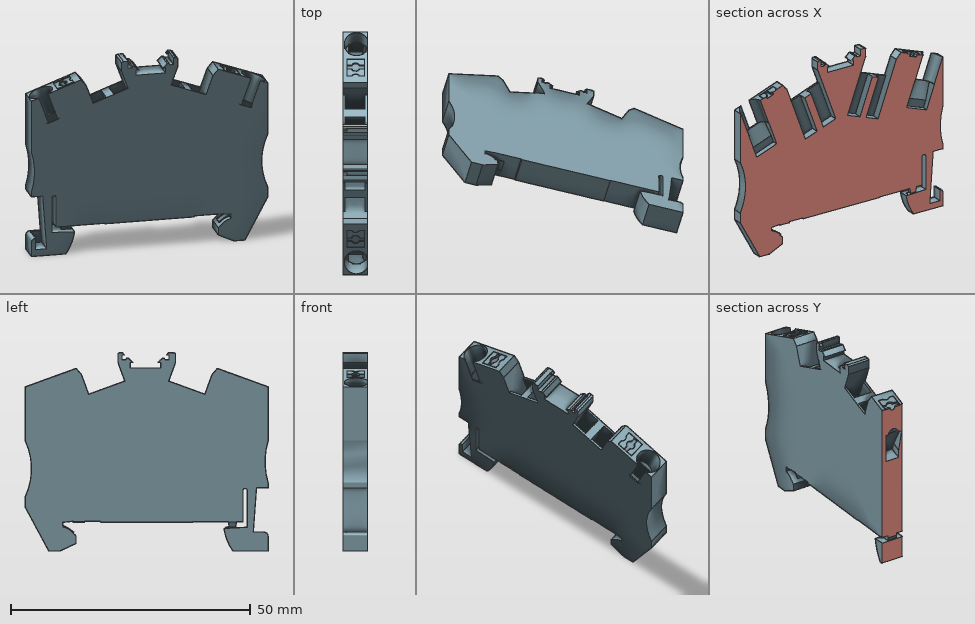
import cadquery as cq
import math

WIDTH = 5.15
LENGTH = 50.8
HEIGHT = 41.5
HALF = LENGTH / 2
SLOPE = 20.0
RISE = math.tan(math.radians(SLOPE))

EAVE_Z = 34.33
PEAK_Y = 14.77
SHOULDER_Y = 13.62
VALLEY_Y = 12.13
VALLEY_Z = 32.8
NECK_Y = 4.62
SHOULDER_Z = VALLEY_Z + (SHOULDER_Y - VALLEY_Y) / RISE
PEAK_Z = EAVE_Z + (HALF - PEAK_Y) * RISE
NECK_Z = VALLEY_Z + (VALLEY_Y - NECK_Y) * RISE

HOLDER_Y = 6.05
HOLDER_BEND_Z = 39.43
HOLDER_FLOOR_Z = 38.3
HOLDER_FLOOR_Y = 3.43
HOLDER_INSET = 0.55
LEDGE_Z = 40.0
LEDGE_WALL_Y = 5.15
LIP_WIDTH = 0.8
LIP_REACH = 0.46
LIP_TOP_REACH = 0.07
LIP_Z = 40.96
LIP_ROOT = 0.2
JAW_TOP_DROP = 0.2
JAW_TOP_BEVEL = 0.45
CATCH_FOOT_Y = 4.39
CATCH_TOP_OUTER_Y = 4.2
CATCH_TOP_INNER_Y = 3.8
CATCH_TOP_Z = 40.3
CATCH_TIP_Y = 2.85
CATCH_TIP_Z = 39.4

FRONT_GRIP_LOW_Z = 14.25
FRONT_GRIP_HIGH_Z = 23.05
FRONT_GRIP_DEPTH = 0.65
BACK_GRIP_LOW_Z = 11.4
BACK_GRIP_HIGH_Z = 23.0
BACK_GRIP_DEPTH = 1.28

BASE_Z = 5.98
RELIEF_Z = 6.2
FLANK_Z = 6.1
BASE_MIN_Y = -9.6
BASE_MAX_Y = 9.56
RELIEF_MIN_Y = 9.75
RELIEF_MAX_Y = 15.4
JAW_Y = 17.53
JAW_BEND_Y = 15.85
JAW_BEND_Z = 4.21
JAW_BULGE = 0.15
JAW_TIP_Y = 14.77
JAW_TIP_HIGH_Z = 3.18
JAW_TIP_LOW_Z = 1.57
JAW_SOLE_MIN_Y = 18.1
JAW_SOLE_MAX_Y = 20.5
FLANGE_TOP_Z = 9.12
SLOT_INNER_Y = -20.13
SLOT_WIDTH = 0.85
SLOT_TOP_Z = 13.06
FOOT_TOP_Z = 5.0
FOOT_TIP_Y = -16.1
FOOT_SOLE_Y = -18.0
FOOT_BULGE = 0.3
FOOT_TIP_Z = 4.75
LEG_BOTTOM_Y = -22.3
LEG_TOP_Y = -22.97
LEG_TOP_Z = 13.18
HEEL_Z = 3.98
HEEL_RADIUS = 0.9
HEEL_POCKET_X = 0.7
HEEL_POCKET_DEPTH = 2.5
RAIL_STOP_Y = 13.0
FOOT_STOP_Z = 4.95
FOOT_STOP_TOE = 0.2
FOOT_STOP_BACK_Y = -18.6
FOOT_STOP_FRONT_Y = -17.2
FOOT_STOP_TOE_Y = -16.5
FOOT_STOP_TAPER = 0.2
RIDGE_ROOT_Z = 5.4
RIDGE_THICKNESS = 0.9
RIDGE_BEND_Y = 16.3
RIDGE_BEND_Z = 4.75
RIDGE_TIP_Y = 15.2
RIDGE_TIP_Z = 3.95
RIDGE_HEIGHT = 0.4
DETAIL_ROOT = 0.2
INSET_X = 1.5

WIRE_Y = 22.8
WIRE_X = 2.83
WIRE_RADIUS = 2.55
WIRE_DEPTH = 6.1
CLAMP_X = 2.62
CLAMP_SIZE_X = 3.0
CLAMP_SIZE_Y = 5.2
CLAMP_DEPTH = 11.8
CLAMP_FLARE = 0.75
CLAMP_FLARE_DEPTH = 4.0
FLARE_TOE = 0.05
MARKER_Y = 17.92
MARKER_X = 2.65
MARKER_SIZE_X = 3.7
MARKER_LENGTH = 3.7
MARKER_DEPTH = 0.1
MARKER_NOTCH_RADIUS = 1.0
MARKER_NOTCH_REACH = 0.4
GROOVE_SHIFT = 0.15
GROOVE_WIDTH = 0.8
GROOVE_RADIUS = 0.9
GROOVE_DEPTH = 0.6
SHAFT_SIZE_X = 4.2
SHAFT_X = 2.55
SHAFT_DEPTH = 9.0
OUTER_SHAFT_END_Y = 9.27
INNER_SHAFT_START_Y = 7.63


def prism(points, x_start=0.0, x_end=WIDTH):
    """Extrude a closed (y, z) polygon along X."""
    return cq.Workplane("YZ", origin=(x_start, 0, 0)).polyline(points).close().extrude(x_end - x_start)


def jaw_points(side):
    """Label holder jaw from its neck to the holder floor; side is +1 or -1 in Y."""
    inset = HOLDER_INSET if side < 0 else 0.0
    inner = [
        (LEDGE_WALL_Y, HEIGHT),
        (LEDGE_WALL_Y, LEDGE_Z),
        (CATCH_FOOT_Y, LEDGE_Z),
        (CATCH_TOP_OUTER_Y, CATCH_TOP_Z),
        (CATCH_TOP_INNER_Y, CATCH_TOP_Z),
        (CATCH_TIP_Y, CATCH_TIP_Z),
        (HOLDER_FLOOR_Y, CATCH_TIP_Z),
        (HOLDER_FLOOR_Y, HOLDER_FLOOR_Z),
    ]
    outer = [
        (NECK_Y, NECK_Z),
        (HOLDER_Y, HOLDER_BEND_Z),
        (HOLDER_Y, HEIGHT - JAW_TOP_DROP),
        (HOLDER_Y - JAW_TOP_BEVEL, HEIGHT),
    ]
    points = outer + [(y - inset, z) for y, z in inner]
    return [(side * y, z) for y, z in points]


def roof_points(side):
    """Roof from the eave up to the valley beside the label holder."""
    points = [(HALF, EAVE_Z), (PEAK_Y, PEAK_Z), (SHOULDER_Y, SHOULDER_Z), (VALLEY_Y, VALLEY_Z)]
    return [(side * y, z) for y, z in points]


def make_body():
    top = roof_points(1) + jaw_points(1) + jaw_points(-1)[::-1] + roof_points(-1)[::-1]
    slot_outer_y = SLOT_INNER_Y - SLOT_WIDTH
    slot_spring_z = SLOT_TOP_Z - SLOT_WIDTH / 2
    outline = (
        cq.Workplane("YZ")
        .polyline(top)
        .lineTo(-HALF, FRONT_GRIP_HIGH_Z)
        .sagittaArc((-HALF, FRONT_GRIP_LOW_Z), FRONT_GRIP_DEPTH)
        .lineTo(-HALF, LEG_TOP_Z)
        .lineTo(LEG_TOP_Y, LEG_TOP_Z)
        .lineTo(LEG_BOTTOM_Y, HEEL_Z)
        .lineTo(-HALF + HEEL_RADIUS, HEEL_Z)
        .radiusArc((-HALF, HEEL_Z - HEEL_RADIUS), -HEEL_RADIUS)
        .lineTo(-HALF, 0)
        .lineTo(FOOT_SOLE_Y, 0)
        .sagittaArc((FOOT_TIP_Y, FOOT_TIP_Z), -FOOT_BULGE)
        .lineTo(slot_outer_y, FOOT_TOP_Z)
        .lineTo(slot_outer_y, slot_spring_z)
        .threePointArc((SLOT_INNER_Y - SLOT_WIDTH / 2, SLOT_TOP_Z), (SLOT_INNER_Y, slot_spring_z))
        .lineTo(SLOT_INNER_Y, FLANK_Z)
        .lineTo(BASE_MIN_Y, FLANK_Z)
        .lineTo(BASE_MIN_Y, BASE_Z)
        .lineTo(BASE_MAX_Y, BASE_Z)
        .lineTo(RELIEF_MIN_Y, RELIEF_Z)
        .lineTo(RELIEF_MAX_Y, RELIEF_Z)
        .lineTo(JAW_Y, BASE_Z)
        .lineTo(JAW_Y, FOOT_TOP_Z)
        .sagittaArc((JAW_BEND_Y, JAW_BEND_Z), -JAW_BULGE)
        .lineTo(JAW_TIP_Y, JAW_TIP_HIGH_Z)
        .lineTo(JAW_TIP_Y, JAW_TIP_LOW_Z)
        .lineTo(JAW_SOLE_MIN_Y, 0)
        .lineTo(JAW_SOLE_MAX_Y, 0)
        .lineTo(HALF, FLANGE_TOP_Z)
        .lineTo(HALF, BACK_GRIP_LOW_Z)
        .sagittaArc((HALF, BACK_GRIP_HIGH_Z), BACK_GRIP_DEPTH)
        .close()
    )
    return outline.extrude(WIDTH)


def make_lip(side):
    """Short catch on the jaw top, only near the X = 0 face."""
    wall = LEDGE_WALL_Y - (HOLDER_INSET if side < 0 else 0.0)
    points = [
        (wall + LIP_ROOT, HEIGHT),
        (wall - LIP_TOP_REACH, HEIGHT),
        (wall - LIP_REACH, LIP_Z),
        (wall + LIP_ROOT, LIP_Z),
    ]
    return prism([(side * y, z) for y, z in points], 0.0, LIP_WIDTH)


def make_rail_details():
    """Rail stop, spring foot stop and jaw ridge, all set back from the faces."""
    rail_stop = [
        (RELIEF_MAX_Y, RELIEF_Z + DETAIL_ROOT),
        (RELIEF_MAX_Y, BASE_Z),
        (RAIL_STOP_Y, BASE_Z),
        (RAIL_STOP_Y, RELIEF_Z + DETAIL_ROOT),
    ]
    foot_stop = [
        (FOOT_STOP_BACK_Y - FOOT_STOP_TAPER, FLANK_Z + DETAIL_ROOT),
        (FOOT_STOP_BACK_Y, FOOT_STOP_Z),
        (FOOT_STOP_TOE_Y, FOOT_STOP_Z),
        (FOOT_STOP_FRONT_Y, FOOT_STOP_Z + FOOT_STOP_TOE),
        (FOOT_STOP_FRONT_Y + FOOT_STOP_TAPER, FLANK_Z + DETAIL_ROOT),
    ]
    jaw_ridge = [
        (JAW_Y, RIDGE_ROOT_Z),
        (RIDGE_BEND_Y, RIDGE_BEND_Z),
        (RIDGE_TIP_Y, RIDGE_TIP_Z),
        (RIDGE_TIP_Y + RIDGE_HEIGHT, RIDGE_TIP_Z - RIDGE_HEIGHT),
        (JAW_Y, RIDGE_ROOT_Z - RIDGE_THICKNESS),
    ]
    return [prism(points, INSET_X, WIDTH - INSET_X) for points in (rail_stop, foot_stop, jaw_ridge)]


def slope_plane(side, y, z, x):
    """Plane on a roof slope: local x is X, local y points towards +Y."""
    angle = math.radians(SLOPE)
    normal = (0, side * math.sin(angle), math.cos(angle))
    return cq.Workplane(cq.Plane(origin=(x, y * side, z), xDir=(1, 0, 0), normal=normal))


def roof_plane(side, y, x):
    return slope_plane(side, y, EAVE_Z + (HALF - y) * RISE, x)


def cut_wire_entry(body, side):
    """Round funnel normal to the roof, continued by a rectangular clamp shaft."""
    funnel = roof_plane(side, WIRE_Y, WIRE_X).circle(WIRE_RADIUS).extrude(-WIRE_DEPTH)
    clamp = (
        roof_plane(side, WIRE_Y, CLAMP_X)
        .workplane(offset=-WIRE_DEPTH)
        .rect(CLAMP_SIZE_X, CLAMP_SIZE_Y)
        .extrude(WIRE_DEPTH - CLAMP_DEPTH)
    )
    flare = (
        roof_plane(side, WIRE_Y, CLAMP_X + CLAMP_SIZE_X / 2 + CLAMP_FLARE / 2)
        .workplane(offset=-WIRE_DEPTH)
        .rect(CLAMP_FLARE, CLAMP_SIZE_Y)
        .workplane(offset=-CLAMP_FLARE_DEPTH)
        .center(-CLAMP_FLARE / 2, 0)
        .rect(FLARE_TOE, CLAMP_SIZE_Y)
        .loft(ruled=True)
    )
    return body.cut(funnel).cut(clamp).cut(flare)


def cut_marker(body, side):
    """Shallow notched rectangle with a deeper cross groove and round centre."""
    notch_y = -side * (MARKER_LENGTH / 2 + MARKER_NOTCH_RADIUS - MARKER_NOTCH_REACH)
    notch = (
        roof_plane(side, MARKER_Y, MARKER_X)
        .center(0, notch_y)
        .circle(MARKER_NOTCH_RADIUS)
        .extrude(-MARKER_DEPTH)
    )
    plane = roof_plane(side, MARKER_Y, MARKER_X)
    recess = plane.rect(MARKER_SIZE_X, MARKER_LENGTH).extrude(-MARKER_DEPTH).cut(notch)
    groove_plane = roof_plane(side, MARKER_Y + GROOVE_SHIFT, MARKER_X)
    groove = groove_plane.rect(MARKER_SIZE_X, GROOVE_WIDTH).extrude(-GROOVE_DEPTH)
    centre = groove_plane.circle(GROOVE_RADIUS).extrude(-GROOVE_DEPTH)
    return body.cut(recess).cut(groove).cut(centre)


def cut_shaft(body, side, y_outer, y_inner):
    """Rectangular bridge shaft normal to the valley slope."""
    y = (y_outer + y_inner) / 2
    z = VALLEY_Z + (VALLEY_Y - y) * RISE
    length = (y_outer - y_inner) / math.cos(math.radians(SLOPE))
    shaft = slope_plane(side, y, z, SHAFT_X).rect(SHAFT_SIZE_X, length).extrude(-SHAFT_DEPTH)
    return body.cut(shaft)


def cut_heel_pocket(body):
    """Tool pocket between the sprung leg and the rounded heel, open at the +X face."""
    heel_y = -HALF + HEEL_RADIUS
    floor_z = HEEL_Z - HEEL_POCKET_DEPTH
    leg_slope = (LEG_BOTTOM_Y - LEG_TOP_Y) / (LEG_TOP_Z - HEEL_Z)
    points = [
        (LEG_BOTTOM_Y, HEEL_Z),
        (LEG_BOTTOM_Y + HEEL_POCKET_DEPTH * leg_slope, floor_z),
        (heel_y, floor_z),
        (heel_y, HEEL_Z),
    ]
    return body.cut(prism(points, HEEL_POCKET_X, WIDTH))


result = make_body()
result = cut_heel_pocket(result)
for detail in make_rail_details():
    result = result.union(detail)
for end in (1, -1):
    result = result.union(make_lip(end))
    result = cut_wire_entry(result, end)
    result = cut_marker(result, end)
    result = cut_shaft(result, end, VALLEY_Y, OUTER_SHAFT_END_Y)
    result = cut_shaft(result, end, INNER_SHAFT_START_Y, NECK_Y)